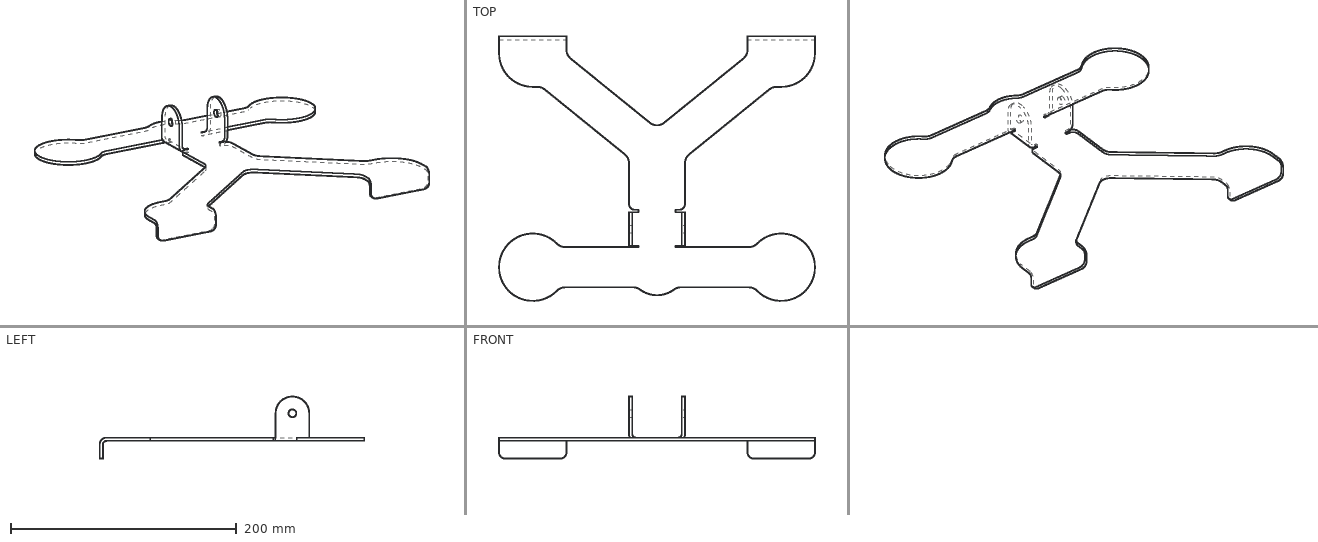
import cadquery as cq
import math

overall_x = 280.0
overall_y = 234.5
thickness = 3.0
inner_bend = 3.0
outer_bend = inner_bend + thickness
blend_radius = 10.0

pad_radius = 30.0
pad_x = overall_x / 2 - pad_radius
bar_width = 35.8
bulge_radius = 25.0

stem_half_width = 25.0
arm_width = bar_width
arm_angle = math.radians(39)
crotch_y = 123.0

rear_y = overall_y - pad_radius
foot_width = 2 * pad_radius
foot_length = 45.0
foot_corner_radius = 30.0
flange_depth = 18.8
flange_corner_radius = 5.5

lug_y = 34.0
lug_radius = 14.98
lug_height = 36.5
lug_hole_diameter = 6.7
notch_x = 16.5
notch_end_y = 50.7
notch_corner_radius = 5.5


def make_bar():
    bar = cq.Workplane("XY").rect(2 * pad_x, bar_width).extrude(-thickness)
    pads = cq.Workplane("XY").pushPoints([(-pad_x, 0), (pad_x, 0)]).circle(pad_radius).extrude(-thickness)
    bulge = cq.Workplane("XY").circle(bulge_radius).extrude(-thickness)
    front_half = cq.Workplane("XY").rect(overall_x, 2 * bulge_radius).extrude(-thickness)
    front_half = front_half.translate((0, -bulge_radius, 0))
    bar = bar.union(pads).union(bulge.intersect(front_half))

    pad_joint_x = pad_x - math.sqrt(pad_radius**2 - (bar_width / 2) ** 2)
    bulge_joint_x = math.sqrt(bulge_radius**2 - (bar_width / 2) ** 2)
    joints = [(pad_joint_x, bar_width / 2), (pad_joint_x, -bar_width / 2), (bulge_joint_x, -bar_width / 2)]
    for x, y in joints:
        for side in (-1, 1):
            bar = fillet_upright_edge(bar, side * x, y, blend_radius)
    return bar


def fillet_upright_edge(body, x, y, radius):
    point = (x, y, -thickness / 2)
    return body.edges(cq.selectors.NearestToPointSelector(point)).fillet(radius)


def make_frame():
    """Stem, arms and flat part of the feet."""
    slope = math.tan(arm_angle)
    lower_crotch_y = crotch_y - arm_width / math.cos(arm_angle)
    foot_outer_x = overall_x / 2
    foot_inner_x = foot_outer_x - foot_width
    foot_front_y = rear_y - foot_length
    bend_start_y = rear_y - outer_bend

    stem_corner = (stem_half_width, notch_end_y)
    stem_to_arm = (stem_half_width, lower_crotch_y + stem_half_width * slope)
    arm_to_foot = ((foot_front_y - lower_crotch_y) / slope, foot_front_y)
    foot_corner = (foot_outer_x, foot_front_y)
    foot_inner_corner = (foot_inner_x, crotch_y + foot_inner_x * slope)
    right_side = [
        (notch_x, 0),
        (notch_x, notch_end_y),
        stem_corner,
        stem_to_arm,
        arm_to_foot,
        foot_corner,
        (foot_outer_x, bend_start_y),
        (foot_inner_x, bend_start_y),
        foot_inner_corner,
    ]
    left_side = [(-x, y) for x, y in reversed(right_side)]
    outline = right_side + [(0, crotch_y)] + left_side
    frame = cq.Workplane("XY").polyline(outline).close().extrude(-thickness)

    corner_radii = [
        (stem_corner, notch_corner_radius),
        (stem_to_arm, blend_radius),
        (arm_to_foot, blend_radius),
        (foot_corner, foot_corner_radius),
        (foot_inner_corner, blend_radius),
    ]
    for (x, y), radius in corner_radii:
        for side in (-1, 1):
            frame = fillet_upright_edge(frame, side * x, y, radius)
    return fillet_upright_edge(frame, 0, crotch_y, blend_radius)


def make_flange(side):
    """Rear flange, swept as a bent strip along the width of one foot."""
    centre_y = rear_y - outer_bend
    diagonal = math.sqrt(0.5)
    flange = (
        cq.Workplane("YZ")
        .moveTo(centre_y, 0)
        .threePointArc(
            (centre_y + outer_bend * diagonal, -outer_bend + outer_bend * diagonal),
            (rear_y, -outer_bend),
        )
        .lineTo(rear_y, -flange_depth)
        .lineTo(rear_y - thickness, -flange_depth)
        .lineTo(rear_y - thickness, -outer_bend)
        .threePointArc(
            (centre_y + inner_bend * diagonal, -outer_bend + inner_bend * diagonal),
            (centre_y, -thickness),
        )
        .close()
        .extrude(foot_width / 2, both=True)
    )
    flange = flange.faces("<Z").edges("|Y").fillet(flange_corner_radius)
    return flange.translate((side * pad_x, 0, 0))


def make_lug(side):
    """Lug bent upward from the stem, including the strip that joins it to the plate."""
    outer_x = stem_half_width
    inner_x = outer_x - thickness
    bend_x = outer_x - outer_bend
    diagonal = math.sqrt(0.5)
    strip = (
        cq.Workplane("XZ")
        .moveTo(0, 0)
        .lineTo(bend_x, 0)
        .threePointArc(
            (bend_x + inner_bend * diagonal, inner_bend - inner_bend * diagonal),
            (inner_x, inner_bend),
        )
        .lineTo(inner_x, lug_height)
        .lineTo(outer_x, lug_height)
        .lineTo(outer_x, inner_bend)
        .threePointArc(
            (bend_x + outer_bend * diagonal, inner_bend - outer_bend * diagonal),
            (bend_x, -thickness),
        )
        .lineTo(0, -thickness)
        .close()
        .extrude(lug_radius, both=True)
    )
    hole_z = lug_height - lug_radius
    profile = (
        cq.Workplane("YZ")
        .moveTo(-lug_radius, -thickness)
        .lineTo(-lug_radius, hole_z)
        .threePointArc((0, lug_height), (lug_radius, hole_z))
        .lineTo(lug_radius, -thickness)
        .close()
        .extrude(outer_x)
    )
    hole = cq.Workplane("YZ").center(0, hole_z).circle(lug_hole_diameter / 2).extrude(outer_x)
    lug = strip.intersect(profile).cut(hole)
    if side < 0:
        lug = lug.mirror("YZ")
    return lug.translate((0, lug_y, 0))


result = make_bar().union(make_frame())
for side in (-1, 1):
    result = result.union(make_flange(side)).union(make_lug(side))